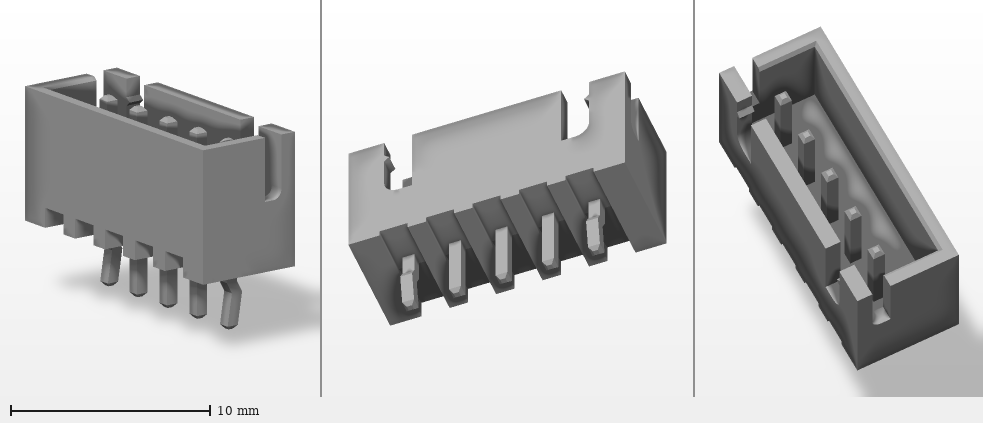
import cadquery as cq

body_width = 14.9
body_depth = 5.75
body_height = 7.0
side_wall = 0.8
front_wall = 0.76
back_wall = 0.85
floor_height = 2.0
mouth_chamfer = 0.18

side_slot_width = 1.03
side_slot_depth = 3.34
side_slot_radius = 0.5
tab_width = 1.94
back_slot_width = 1.49
back_slot_depth = 3.87
back_slot_radius = 0.76

ridge_drop = 1.19
ridge_reach = 0.27
ridge_half_height = 0.22

notch_width = 1.52
notch_front_height = 1.05
notch_back_height = 0.31

pin_count = 5
pin_pitch = 2.5
pin_size = 0.64
pin_from_back = 2.35
pin_top = 6.5
pin_bottom = -3.4
tip_height = 0.21
tip_inset = 0.18

kink_start = -0.91
kink_peak = -1.49
kink_offset = 0.31
kink_end_offset = 0.05

pocket_back = body_depth - back_wall
pocket_width = body_width - 2 * side_wall
pin_y = body_depth - pin_from_back
pin_xs = [(i - (pin_count - 1) / 2) * pin_pitch for i in range(pin_count)]
tip_start = pin_bottom + tip_height


def box(x0, x1, y0, y1, z0, z1):
    """Box given by its limits along each axis."""
    return cq.Workplane("XY").box(x1 - x0, y1 - y0, z1 - z0, centered=False).translate((x0, y0, z0))


def mirrored(solid):
    """The solid together with its mirror image across X = 0."""
    return solid.union(solid.mirror("YZ"))


def pocket():
    """Cavity open at the top, chamfered along the front and side walls only."""
    half = pocket_width / 2
    cavity = box(-half, half, front_wall, pocket_back, floor_height, body_height)
    mouth_front = front_wall - mouth_chamfer
    mouth = (
        cq.Workplane("XY", origin=(0, (mouth_front + pocket_back) / 2, body_height))
        .rect(pocket_width + 2 * mouth_chamfer, pocket_back - mouth_front)
        .extrude(-mouth_chamfer, taper=45)
    )
    return cavity.union(mouth)


def side_slots():
    """Slots through both side walls, rounded at the bottom next to the tabs."""
    half = body_width / 2
    bottom = body_height - side_slot_depth
    slot = box(-half, half, pocket_back - side_slot_width, pocket_back, bottom, body_height)
    return slot.edges("|X and >Y and <Z").fillet(side_slot_radius)


def back_slots():
    """Slots through the back wall, rounded at the bottom next to the tabs."""
    x0 = -body_width / 2 + tab_width
    bottom = body_height - back_slot_depth
    slot = box(x0, x0 + back_slot_width, pocket_back, body_depth, bottom, body_height)
    return mirrored(slot.edges("|Y and <X and <Z").fillet(back_slot_radius))


def snap_ridges():
    """Triangular ridges on the tab edges that face the back slots."""
    x0 = -body_width / 2 + tab_width
    z = body_height - ridge_drop
    ridge = (
        cq.Workplane("XZ", origin=(0, body_depth, 0))
        .moveTo(x0, z - ridge_half_height)
        .lineTo(x0 + ridge_reach, z)
        .lineTo(x0, z + ridge_half_height)
        .close()
        .extrude(back_wall)
    )
    return mirrored(ridge)


def notch(x):
    """Through notch whose ceiling slopes down to the pin row, then runs level to the back."""
    pin_front = pin_y - pin_size / 2
    ceiling = [(body_depth, notch_back_height), (pin_front, notch_back_height), (0, notch_front_height)]
    return (
        cq.Workplane("YZ", origin=(x - notch_width / 2, 0, 0))
        .polyline([(0, 0), (body_depth, 0)] + ceiling)
        .close()
        .extrude(notch_width)
    )


def pin_tip(x, y, z, direction):
    """Blunt pyramid that ends a pin; direction is +1 for up and -1 for down."""
    return (
        cq.Workplane("XY", origin=(x, y, z))
        .rect(pin_size, pin_size)
        .workplane(offset=direction * tip_height)
        .rect(pin_size - 2 * tip_inset, pin_size - 2 * tip_inset)
        .loft(ruled=True)
    )


def pin(x, kinked):
    """Square pin with blunt tips; a kinked pin bulges to the back below the housing."""
    tip_offset = kink_end_offset if kinked else 0
    path = [(0, pin_top - tip_height), (tip_offset, tip_start)]
    if kinked:
        path[1:1] = [(0, kink_start), (kink_offset, kink_peak)]
    back_side = [(pin_y + y + pin_size / 2, z) for y, z in path]
    front_side = [(pin_y + y - pin_size / 2, z) for y, z in path]
    shank = (
        cq.Workplane("YZ", origin=(x - pin_size / 2, 0, 0))
        .polyline(back_side + front_side[::-1])
        .close()
        .extrude(pin_size)
    )
    upper_tip = pin_tip(x, pin_y, pin_top - tip_height, 1)
    lower_tip = pin_tip(x, pin_y + tip_offset, tip_start, -1)
    return shank.union(upper_tip).union(lower_tip)


result = box(-body_width / 2, body_width / 2, 0, body_depth, 0, body_height)
result = result.cut(pocket()).cut(side_slots()).cut(back_slots()).union(snap_ridges())

for pin_x in pin_xs:
    result = result.cut(notch(pin_x))

for pin_x in pin_xs:
    result = result.union(pin(pin_x, kinked=pin_x in (pin_xs[0], pin_xs[-1])))